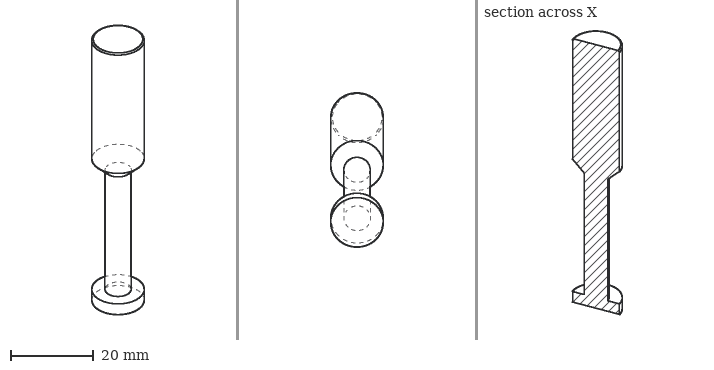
import cadquery as cq

total_height = 76.2
body_diameter = 12.7
stem_diameter = body_diameter / 2
flange_thickness = body_diameter / 4
shoulder_height = 38.1
top_chamfer = 0.4

body_radius = body_diameter / 2
stem_radius = stem_diameter / 2
barrel_base = shoulder_height + body_radius - stem_radius

profile = (
    cq.Workplane("XZ")
    .moveTo(0, 0)
    .lineTo(body_radius, 0)
    .lineTo(body_radius, flange_thickness)
    .lineTo(stem_radius, flange_thickness)
    .lineTo(stem_radius, shoulder_height)
    .lineTo(body_radius, barrel_base)
    .lineTo(body_radius, total_height - top_chamfer)
    .lineTo(body_radius - top_chamfer, total_height)
    .lineTo(0, total_height)
    .close()
)

result = profile.revolve(360, (0, 0, 0), (0, 1, 0))